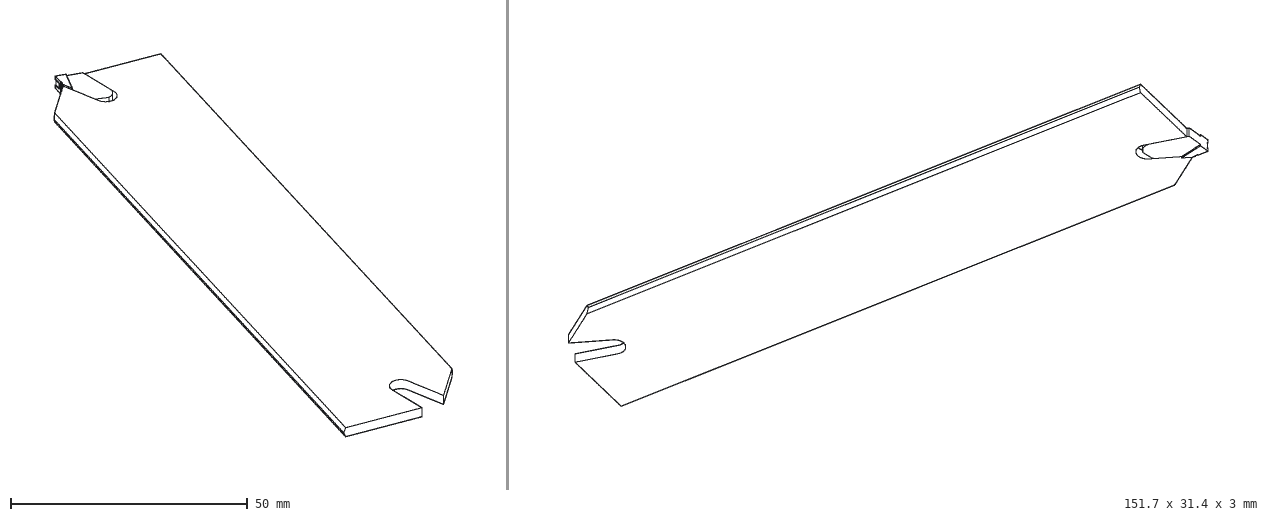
import cadquery as cq
import math

BLADE_LENGTH = 150.3
BLADE_WIDTH = 31.4
BLADE_THICKNESS = 2.3
EDGE_BEVEL = 0.5
HALF_LENGTH = BLADE_LENGTH / 2
HALF_WIDTH = BLADE_WIDTH / 2

SEAT_CORNER = (-HALF_LENGTH, -2.7)
JAW_TIP = (-72.8, -9.0)
RELIEF_X = -63.4
POCKET_CENTER = (-65.4, -2.6)
POCKET_RADIUS = 2.5

OVERALL_LENGTH = 151.7
TIP_X = HALF_LENGTH - OVERALL_LENGTH
FRONT_TOP_X = -75.7
TAIL_TOP_X = -67.0
TAIL_MIDDLE = (-65.2, -1.0)
TAIL_END = (-64.5, -2.3)
TAIL_BOTTOM_X = -65.1
HEAD_THICKNESS = 3.0
HEAD_FRONT_Y = -6.5
HEAD_MIDDLE = (-73.5, -7.1)
HEAD_END_X = -70.5

GROOVE_WIDTH = 1.4
GROOVE_DEPTH = 0.2
GROOVE_LENGTH = 1.8
CROSS_GROOVE_START = 2.6
CROSS_GROOVE_LENGTH = 0.6


def tangent_point(point, side):
    """Point where a line from `point` touches the pocket circle; side is +1 or -1."""
    dx = point[0] - POCKET_CENTER[0]
    dy = point[1] - POCKET_CENTER[1]
    angle = math.atan2(dy, dx) + side * math.acos(POCKET_RADIUS / math.hypot(dx, dy))
    return (
        POCKET_CENTER[0] + POCKET_RADIUS * math.cos(angle),
        POCKET_CENTER[1] + POCKET_RADIUS * math.sin(angle),
    )


def point_on_line(start, end, x):
    """Point at the given X on the line through start and end."""
    slope = (end[1] - start[1]) / (end[0] - start[0])
    return (x, start[1] + slope * (x - start[0]))


SEAT_TANGENT = tangent_point(SEAT_CORNER, -1)
JAW_TANGENT = tangent_point(JAW_TIP, 1)
POCKET_BOTTOM = (POCKET_CENTER[0] + POCKET_RADIUS, POCKET_CENTER[1])
FRONT_TOP = point_on_line(SEAT_CORNER, SEAT_TANGENT, FRONT_TOP_X)
FRONT_BOTTOM = (TIP_X, JAW_TIP[1])


def half_turn(point):
    return (-point[0], -point[1])


def make_blade():
    end = [SEAT_CORNER, SEAT_TANGENT, POCKET_BOTTOM, JAW_TANGENT, JAW_TIP, (RELIEF_X, -HALF_WIDTH)]
    opposite_end = [half_turn(point) for point in end]
    outline = cq.Workplane("XY", origin=(0, 0, -BLADE_THICKNESS / 2)).moveTo(-HALF_LENGTH, HALF_WIDTH)
    for corner, seat, bottom, jaw, tip, relief in (end, opposite_end):
        outline = outline.lineTo(*corner).lineTo(*seat).threePointArc(bottom, jaw)
        outline = outline.lineTo(*tip).lineTo(*relief)
        outline = outline.lineTo(math.copysign(HALF_LENGTH, -relief[0]), relief[1])
    plate = outline.close().extrude(BLADE_THICKNESS)

    flat = HALF_WIDTH - EDGE_BEVEL
    top = BLADE_THICKNESS / 2
    section = [(-HALF_WIDTH, 0), (-flat, top), (flat, top), (HALF_WIDTH, 0), (flat, -top), (-flat, -top)]
    bevelled_bar = cq.Workplane("YZ").polyline(section).close().extrude(HALF_LENGTH, both=True)
    return plate.intersect(bevelled_bar).solids()


def make_insert():
    body = (
        cq.Workplane("XY")
        .moveTo(*FRONT_BOTTOM)
        .lineTo(*FRONT_TOP)
        .lineTo(*point_on_line(SEAT_CORNER, SEAT_TANGENT, TAIL_TOP_X))
        .threePointArc(TAIL_MIDDLE, TAIL_END)
        .lineTo(*point_on_line(JAW_TIP, JAW_TANGENT, TAIL_BOTTOM_X))
        .lineTo(*JAW_TIP)
        .close()
        .extrude(BLADE_THICKNESS / 2, both=True)
    )
    lean = (FRONT_TOP[0] - FRONT_BOTTOM[0]) / (FRONT_TOP[1] - FRONT_BOTTOM[1])
    head_front_x = TIP_X + lean * (HEAD_FRONT_Y - FRONT_BOTTOM[1])
    head = (
        cq.Workplane("XY")
        .moveTo(*FRONT_BOTTOM)
        .lineTo(head_front_x, HEAD_FRONT_Y)
        .threePointArc(HEAD_MIDDLE, point_on_line(JAW_TIP, JAW_TANGENT, HEAD_END_X))
        .lineTo(*JAW_TIP)
        .close()
        .extrude(HEAD_THICKNESS / 2, both=True)
    )
    groove = (
        cq.Workplane("XY")
        .box(GROOVE_LENGTH, GROOVE_DEPTH, GROOVE_WIDTH, centered=(False, False, True))
        .translate((*FRONT_BOTTOM, 0))
    )
    cross_groove = (
        cq.Workplane("XY")
        .box(CROSS_GROOVE_LENGTH, GROOVE_DEPTH, HEAD_THICKNESS, centered=(False, False, True))
        .translate((FRONT_BOTTOM[0] + CROSS_GROOVE_START, FRONT_BOTTOM[1], 0))
    )
    return body.union(head).cut(groove).cut(cross_groove).solids()


blade = make_blade()
insert = make_insert()
result = cq.Compound.makeCompound([blade.val(), insert.val()])